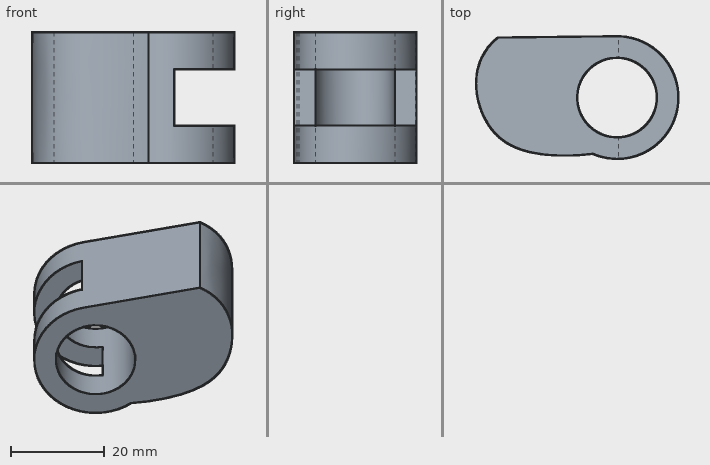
import cadquery as cq
import math

length = 43.3
height = 28.0
ring_diameter = 26.28
ring_radius = ring_diameter / 2
bore_diameter = 16.95
slot_height = 12.05
slot_wall_x = 0.25

nose_x = ring_radius - length
corner = (-25.5, 12.85)
nose = (nose_x, 2.8)
shoulder = (-25.2, -8.53)
belly = (-10.82, -12.42)
ring_joint_x = -5.25
ring_joint = (ring_joint_x, -math.sqrt(ring_radius**2 - ring_joint_x**2))

corner_distance = math.hypot(*corner)
corner_angle = math.atan2(corner[1], corner[0])
tangent_angle = corner_angle - math.acos(ring_radius / corner_distance)
tangent_point = (
    ring_radius * math.cos(tangent_angle),
    ring_radius * math.sin(tangent_angle),
)


def make_body():
    """Extrude the lobed outline: flat side, ring arc and free-form flank."""
    return (
        cq.Workplane("XY")
        .moveTo(*corner)
        .lineTo(*tangent_point)
        .threePointArc((ring_radius, 0), ring_joint)
        .spline([belly, shoulder, nose, corner], includeCurrent=True)
        .close()
        .extrude(height)
    )


def make_bore():
    """Through hole concentric with the ring."""
    return cq.Workplane("XY").circle(bore_diameter / 2).extrude(height)


def make_slot():
    """Mid-height slot that splits the outer half of the ring into two ears."""
    return cq.Workplane("XY").box(
        ring_radius - slot_wall_x, ring_diameter, slot_height, centered=(False, True, True)
    ).translate((slot_wall_x, 0, height / 2))


result = make_body().cut(make_bore()).cut(make_slot())